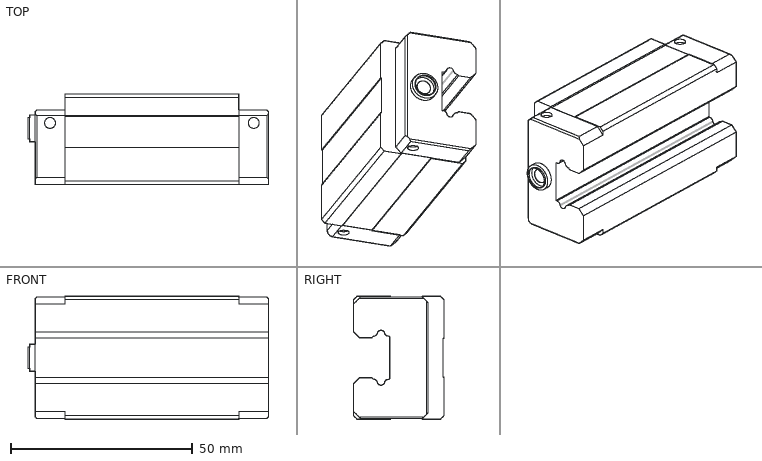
import cadquery as cq


block_length = 48.0
block_width = 34.0
block_height = 25.0
block_chamfer = 1.0
mounting_groove_width = 10.7
mounting_groove_depth = 0.25
side_recess_bottom = 10.2
side_recess_top = 19.0
side_recess_depth = 0.25

cap_length = 8.2
cap_width = 33.6
cap_height = 20.6
cap_top_chamfer = 1.6
cap_bottom_chamfer = 2.0
cap_end_chamfer = 0.5
carriage_length = block_length + 2 * cap_length

port_diameter = 3.0
port_depth = 1.0
port_height = 17.0
port_x = (block_length + cap_length) / 2

channel_depth = 9.95
channel_floor_half_width = 5.8
shoulder_start = (9.75, 5.97)
shoulder_crest = (8.95, 6.17)
groove_height = 7.6
groove_mouth_half_height = 0.97
groove_mouth_half_width = 6.75
groove_arc_half_height = 0.9
groove_arc_half_width = 7.0
groove_bottom_half_width = 7.55
lip_roll_crest = (6.2, 6.15)
lip_roll_end = (5.4, 5.85)
lip_height = 5.1
lip_half_width = 5.5
lip_chamfer = 1.65

nipple_height = 15.5
nipple_flange_diameter = 7.5
nipple_flange_length = 1.5
nipple_rim_diameter = 6.0
nipple_length = 2.0
nipple_bore_diameter = 5.9
nipple_bore_depth = 1.5
nipple_seat_diameter = 3.9
nipple_seat_depth = 0.1


def side_profile(height, width, bottom_chamfer, top_chamfer):
    """YZ outline of a bar with its four long edges chamfered."""
    half = width / 2
    return (
        cq.Workplane("YZ")
        .moveTo(0, -half + bottom_chamfer)
        .lineTo(bottom_chamfer, -half)
        .lineTo(height - top_chamfer, -half)
        .lineTo(height, -half + top_chamfer)
        .lineTo(height, half - top_chamfer)
        .lineTo(height - top_chamfer, half)
        .lineTo(bottom_chamfer, half)
        .lineTo(0, half - bottom_chamfer)
        .close()
    )


def box_between(length, y_min, y_max, z_min, z_max):
    """Box centred in X and spanning the given Y and Z ranges."""
    return (
        cq.Workplane("XY")
        .box(length, y_max - y_min, z_max - z_min)
        .translate((0, (y_min + y_max) / 2, (z_min + z_max) / 2))
    )


def make_block():
    """Steel block with a mounting-face groove and a shallow recess along each side."""
    half = block_width / 2
    block = side_profile(block_height, block_width, block_chamfer, block_chamfer).extrude(
        block_length / 2, both=True
    )
    groove_half = mounting_groove_width / 2
    block = block.cut(
        box_between(
            block_length, block_height - mounting_groove_depth, block_height, -groove_half, groove_half
        )
    )
    recess = (
        cq.Workplane("YZ")
        .moveTo(side_recess_bottom, half)
        .lineTo(side_recess_bottom, half - side_recess_depth)
        .lineTo(side_recess_top - side_recess_depth, half - side_recess_depth)
        .lineTo(side_recess_top, half)
        .close()
        .extrude(block_length / 2, both=True)
    )
    return block.cut(recess).cut(recess.mirror("XY"))


def make_caps():
    """Both end caps, taken as the ends of one bar through the whole carriage."""
    half = cap_width / 2
    bar = side_profile(cap_height, cap_width, cap_bottom_chamfer, cap_top_chamfer).extrude(
        carriage_length / 2, both=True
    )
    envelope = (
        box_between(carriage_length, 0, cap_height, -half, half)
        .faces("<X or >X")
        .edges("|Y or >Y")
        .chamfer(cap_end_chamfer)
    )
    gap = box_between(block_length, 0, cap_height, -half, half)
    return bar.intersect(envelope).cut(gap)


def make_channel():
    """Rail channel through the full length, with a race groove in each flank."""
    half = (
        cq.Workplane("YZ")
        .moveTo(0, 0)
        .lineTo(channel_depth, 0)
        .lineTo(channel_depth, channel_floor_half_width)
        .lineTo(*shoulder_start)
        .threePointArc(
            shoulder_crest, (groove_height + groove_mouth_half_height, groove_mouth_half_width)
        )
        .lineTo(groove_height + groove_arc_half_height, groove_arc_half_width)
        .threePointArc(
            (groove_height, groove_bottom_half_width),
            (groove_height - groove_arc_half_height, groove_arc_half_width),
        )
        .lineTo(groove_height - groove_mouth_half_height, groove_mouth_half_width)
        .threePointArc(lip_roll_crest, lip_roll_end)
        .lineTo(lip_height, lip_half_width)
        .lineTo(lip_chamfer, lip_half_width)
        .lineTo(0, lip_half_width + lip_chamfer)
        .close()
        .extrude(carriage_length / 2, both=True)
    )
    return half.union(half.mirror("XY"))


def disc(diameter, x_start, length):
    """Disc on the nipple axis, growing in +X from x_start."""
    return (
        cq.Workplane("YZ", origin=(x_start, nipple_height, 0)).circle(diameter / 2).extrude(length)
    )


def add_nipple(body):
    """Flanged nipple with a thin rim around its bore."""
    face_x = -carriage_length / 2
    tip_x = face_x - nipple_length
    body = body.union(disc(nipple_flange_diameter, face_x - nipple_flange_length, nipple_flange_length))
    body = body.union(disc(nipple_rim_diameter, tip_x, nipple_length))
    body = body.cut(disc(nipple_bore_diameter, tip_x, nipple_bore_depth))
    return body.cut(disc(nipple_seat_diameter, tip_x + nipple_bore_depth, nipple_seat_depth))


def cut_ports(body):
    """Shallow round ports on both sides of both caps."""
    for x in (-port_x, port_x):
        port = (
            cq.Workplane("XY", origin=(x, port_height, cap_width / 2 - port_depth))
            .circle(port_diameter / 2)
            .extrude(port_depth)
        )
        body = body.cut(port).cut(port.mirror("XY"))
    return body


carriage = make_block().union(make_caps()).cut(make_channel())
result = cut_ports(add_nipple(carriage))